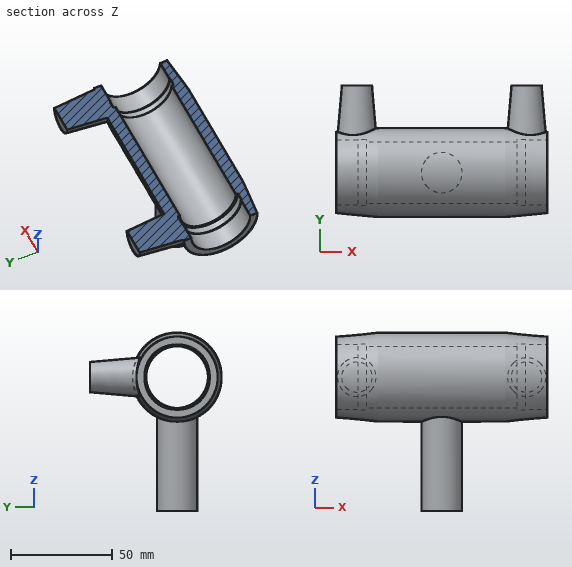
import cadquery as cq
import math

barrel_length = 104.0
barrel_diameter = 44.0
end_diameter = 40.0
end_length = 20.8

bore_diameter = 30.4
counterbore_diameter = 32.0
counterbore_depth = 15.0
groove_diameter = 32.6
groove_width = 4.2

post_diameter = 20.0
post_reach = 66.0

pin_tip_diameter = 15.0
pin_taper_angle = 5.0
pin_reach = 43.0
pin_spacing = 83.6

half_length = barrel_length / 2
barrel_radius = barrel_diameter / 2
end_radius = end_diameter / 2
shoulder_x = half_length - end_length


def make_barrel():
    """Solid of revolution about X with a straight middle and tapered ends."""
    profile = (
        cq.Workplane("XY")
        .moveTo(-half_length, 0)
        .lineTo(-half_length, end_radius)
        .lineTo(-shoulder_x, barrel_radius)
        .lineTo(shoulder_x, barrel_radius)
        .lineTo(half_length, end_radius)
        .lineTo(half_length, 0)
        .close()
    )
    return profile.revolve(360, (0, 0, 0), (1, 0, 0))


def make_post():
    """Cylinder from the barrel axis down to the lowest point of the part."""
    return cq.Workplane("XY").circle(post_diameter / 2).extrude(-post_reach)


def make_pin(x):
    """Cone frustum rooted inside the barrel wall, narrowing to its tip at +Y."""
    root_y = counterbore_diameter / 2
    length = pin_reach - root_y
    tip_radius = pin_tip_diameter / 2
    root_radius = tip_radius + length * math.tan(math.radians(pin_taper_angle))
    root_centre = cq.Vector(x, root_y, 0)
    cone = cq.Solid.makeCone(root_radius, tip_radius, length, root_centre, cq.Vector(0, 1, 0))
    return cq.Workplane(cone)


def make_bore():
    """Revolved cavity: through bore, end counterbores and a groove at the foot of each counterbore."""
    bore_radius = bore_diameter / 2
    counterbore_radius = counterbore_diameter / 2
    groove_radius = groove_diameter / 2
    step_x = half_length - counterbore_depth
    groove_x = step_x + groove_width
    profile = (
        cq.Workplane("XY")
        .moveTo(0, 0)
        .lineTo(0, bore_radius)
        .lineTo(step_x, bore_radius)
        .lineTo(step_x, groove_radius)
        .lineTo(groove_x, groove_radius)
        .lineTo(groove_x, counterbore_radius)
        .lineTo(half_length, counterbore_radius)
        .lineTo(half_length, 0)
        .close()
    )
    half_cavity = profile.revolve(360, (0, 0, 0), (1, 0, 0))
    return half_cavity.union(half_cavity.mirror("YZ"))


body = make_barrel().union(make_post())
for side in (-1, 1):
    body = body.union(make_pin(side * pin_spacing / 2))
result = body.cut(make_bore())